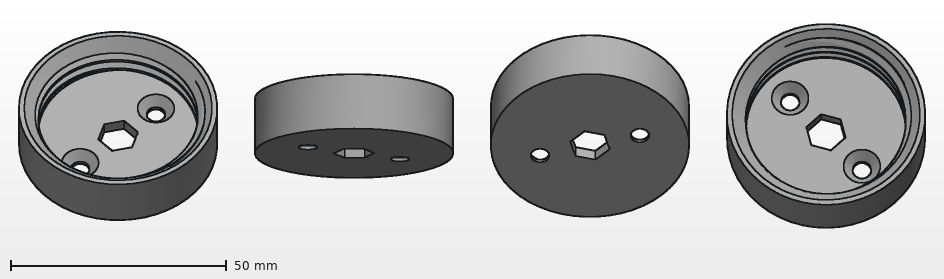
import cadquery as cq
import math

outer_diameter = 46.0
height = 13.0
floor_thickness = 3.0

minor_radius = 37.0 / 2
major_radius = 40.35 / 2
pitch = 3.0
root_width = pitch / 8
flank_angle = 30.0
lead_in_mouth_radius = 43.5 / 2
lead_in_depth = 2.75
runout_angle = 74.0
seam_turn = 0.3
body_seam_angle = 135.0
profile_overlap = 0.2

hex_corner_diameter = 9.45
screw_spacing = 24.0
screw_diameter = 4.3
countersink_diameter = 8.5
countersink_angle = 90.0


def make_wall():
    """Ring above the floor, with its lead-in cone at the mouth."""
    return (
        cq.Workplane("XZ")
        .moveTo(minor_radius, floor_thickness)
        .lineTo(outer_diameter / 2, floor_thickness)
        .lineTo(outer_diameter / 2, height)
        .lineTo(lead_in_mouth_radius, height)
        .lineTo(minor_radius, height - lead_in_depth)
        .close()
        .revolve(360, (0, 0, 0), (0, 1, 0))
        .rotate((0, 0, 0), (0, 0, 1), body_seam_angle)
    )


def make_thread_groove():
    """Right-handed trapezoidal groove that runs out past both ends of the wall."""
    lead_in_slope = lead_in_depth / (lead_in_mouth_radius - minor_radius)
    runout_depth = (lead_in_mouth_radius - major_radius) * lead_in_slope
    top_center = height - runout_depth + root_width / 2

    turns = math.ceil((top_center - floor_thickness) / pitch) + 1 + seam_turn
    bottom_center = top_center - turns * pitch

    inner_radius = minor_radius - profile_overlap
    flank_rise = (major_radius - inner_radius) * math.tan(math.radians(flank_angle))
    half_root = root_width / 2
    half_mouth = half_root + flank_rise

    helix = cq.Wire.makeHelix(
        pitch, (turns + 1) * pitch, minor_radius, cq.Vector(0, 0, bottom_center)
    )
    return (
        cq.Workplane("XZ")
        .polyline([
            (inner_radius, bottom_center - half_mouth),
            (major_radius, bottom_center - half_root),
            (major_radius, bottom_center + half_root),
            (inner_radius, bottom_center + half_mouth),
        ])
        .close()
        .sweep(cq.Workplane(helix), isFrenet=True)
        .rotate((0, 0, 0), (0, 0, 1), runout_angle - 360 * turns)
    )


threaded_wall = make_wall().cut(make_thread_groove())
floor = cq.Workplane("XY").circle(outer_diameter / 2).extrude(floor_thickness)
floor = floor.rotate((0, 0, 0), (0, 0, 1), body_seam_angle)
body = floor.union(threaded_wall)

floor_top = cq.Workplane("XY").workplane(offset=floor_thickness)
hex_hole = floor_top.polygon(6, hex_corner_diameter).extrude(-floor_thickness)

result = (
    body.cut(hex_hole)
    .copyWorkplane(floor_top)
    .pushPoints([(0, -screw_spacing / 2), (0, screw_spacing / 2)])
    .cskHole(screw_diameter, countersink_diameter, countersink_angle)
)